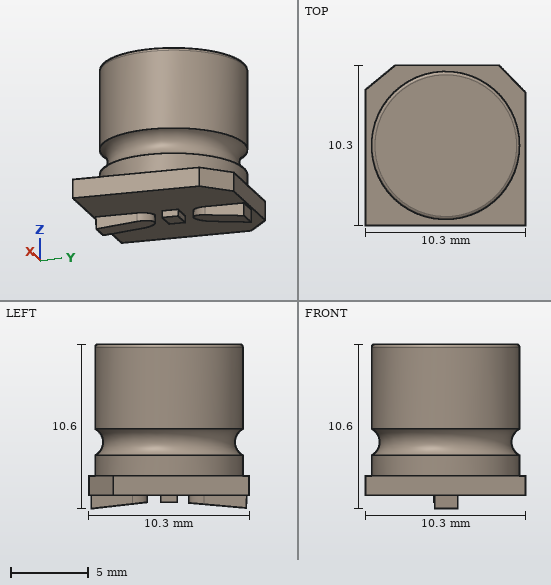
import cadquery as cq

total_height = 10.58
base_side = 10.3
base_thickness = 1.26
leg_drop = 0.86

can_radius = 9.51 / 2
rim_fillet = 0.2
groove_bottom_above_base = 1.32
groove_width = 1.69
groove_depth = 0.51

left_cut_x, left_cut_y = 1.91, 1.58
right_cut_x, right_cut_y = 1.71, 1.76

leg_width = 1.49
leg_center_x = 0.05
leg_round_length = 0.98
rear_leg_outer_y = 5.0
rear_leg_inner_y = 1.39
rear_leg_inner_drop = 0.44
front_leg_outer_y = -5.0
front_leg_inner_y = -1.26
front_leg_outer_drop = 0.81
front_leg_inner_drop = 0.49
front_leg_end_setback = 0.04
pad_length_x = 1.5
pad_length_y = 1.08
pad_drop = 0.44

base_bottom = leg_drop
base_top = base_bottom + base_thickness


def make_base():
    half = base_side / 2
    outline = [
        (-half, -half),
        (half, -half),
        (half, half - right_cut_y),
        (half - right_cut_x, half),
        (-half + left_cut_x, half),
        (-half, half - left_cut_y),
    ]
    return cq.Workplane("XY", origin=(0, 0, base_bottom)).polyline(outline).close().extrude(base_thickness)


def make_can():
    """Revolved can with a round groove and a rounded top rim."""
    groove_bottom = base_top + groove_bottom_above_base
    groove_top = groove_bottom + groove_width
    groove_middle = (can_radius - groove_depth, groove_bottom + groove_width / 2)
    can = (
        cq.Workplane("XZ")
        .moveTo(0, base_top)
        .lineTo(can_radius, base_top)
        .lineTo(can_radius, groove_bottom)
        .threePointArc(groove_middle, (can_radius, groove_top))
        .lineTo(can_radius, total_height)
        .lineTo(0, total_height)
        .close()
        .revolve(360, (0, 0), (0, 1))
    )
    return can.faces(">Z").edges().fillet(rim_fillet)


def make_leg(outer_y, inner_y, outer_drop, inner_drop, end_setback):
    """Leg with a sloped underside and a round inner end."""
    toward_middle = 1 if inner_y > outer_y else -1
    left = leg_center_x - leg_width / 2
    right = leg_center_x + leg_width / 2
    round_start_y = inner_y - toward_middle * leg_round_length
    bar = (
        cq.Workplane("XY")
        .polyline([(left, outer_y), (left, round_start_y), (right, round_start_y), (right, outer_y)])
        .close()
        .extrude(base_bottom)
    )
    round_end = (
        cq.Workplane("XY", origin=(leg_center_x, round_start_y, 0))
        .ellipse(leg_width / 2, leg_round_length)
        .extrude(base_bottom)
    )
    plan = bar.union(round_end)
    side_profile = [
        (outer_y, base_bottom),
        (outer_y + toward_middle * end_setback, base_bottom - outer_drop),
        (inner_y, base_bottom - inner_drop),
        (inner_y, base_bottom),
    ]
    wedge = cq.Workplane("YZ").polyline(side_profile).close().extrude(leg_width, both=True)
    return plan.intersect(wedge)


def make_pad():
    pad_plane = cq.Workplane("XY", origin=(0, 0, base_bottom - pad_drop))
    return pad_plane.rect(pad_length_x, pad_length_y).extrude(pad_drop)


rear_leg = make_leg(rear_leg_outer_y, rear_leg_inner_y, leg_drop, rear_leg_inner_drop, 0)
front_leg = make_leg(
    front_leg_outer_y,
    front_leg_inner_y,
    front_leg_outer_drop,
    front_leg_inner_drop,
    front_leg_end_setback,
)

result = make_base().union(make_can()).union(rear_leg).union(front_leg).union(make_pad())